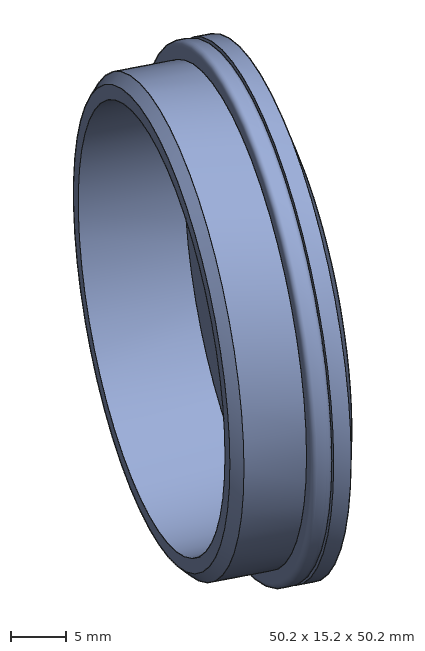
import cadquery as cq

flange_radius = 25.1
flange_front = 6.9
flange_back = 10.6
flange_round = 0.5
dome_top = 15.25

groove_front = 8.25
groove_back = 8.95
groove_round = groove_back - groove_front

spigot_radius = 23.35
spigot_chamfer = 1.0
cavity_radius = 20.95
cavity_depth = 10.1

slot_width = 1.9
slot_depth = 0.5


def make_cap_body():
    """Revolve the half section of the spigot, grooved flange and dome."""
    dome_rise = dome_top - flange_back
    dome_radius = (flange_radius**2 + dome_rise**2) / (2 * dome_rise)
    mid_radius = flange_radius / 2
    mid_height = dome_top - dome_radius + (dome_radius**2 - mid_radius**2) ** 0.5
    return (
        cq.Workplane("XY")
        .moveTo(0, cavity_depth)
        .lineTo(cavity_radius, cavity_depth)
        .lineTo(cavity_radius, 0)
        .lineTo(spigot_radius - spigot_chamfer, 0)
        .lineTo(spigot_radius, spigot_chamfer)
        .lineTo(spigot_radius, flange_front)
        .lineTo(flange_radius - flange_round, flange_front)
        .radiusArc((flange_radius, flange_front + flange_round), -flange_round)
        .lineTo(flange_radius, groove_front)
        .radiusArc((flange_radius - groove_round, groove_back), -groove_round)
        .lineTo(flange_radius, groove_back)
        .lineTo(flange_radius, flange_back)
        .threePointArc((mid_radius, mid_height), (0, dome_top))
        .close()
        .revolve(360, (0, 0, 0), (0, 1, 0))
    )


def make_slot_cutter():
    """Straight slot along X across the crown of the dome."""
    return (
        cq.Workplane("XY")
        .box(2 * flange_radius, slot_depth, slot_width, centered=(True, False, True))
        .translate((0, dome_top - slot_depth, 0))
    )


result = make_cap_body().cut(make_slot_cutter())